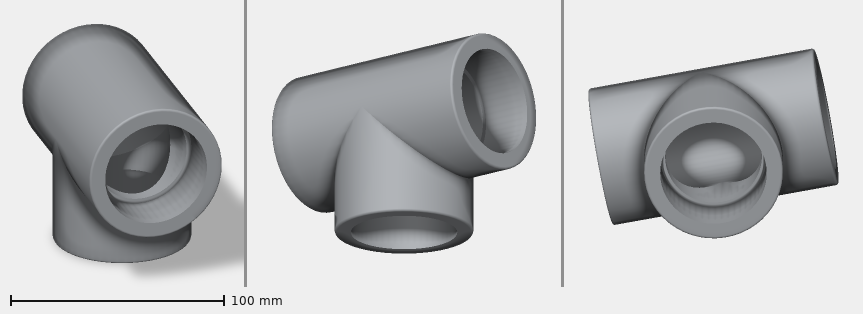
import cadquery as cq

run_length = 107.5
outer_diameter = 65.0
socket_diameter = 50.0
bore_diameter = 45.4
overall_height = 86.5
socket_depth = 24.5
rim_fillet = 1.1

outer_radius = outer_diameter / 2
half_run = run_length / 2
branch_length = overall_height - outer_radius


def run_cylinder(diameter, start, end):
    """Cylinder on the X axis between two X positions."""
    return cq.Workplane("YZ").workplane(offset=start).circle(diameter / 2).extrude(end - start)


def branch_cylinder(diameter, start, end):
    """Cylinder on the Z axis between two distances below the run axis."""
    return cq.Workplane("XY").workplane(offset=-end).circle(diameter / 2).extrude(end - start)


run = run_cylinder(outer_diameter, -half_run, half_run).edges().fillet(rim_fillet)
branch = branch_cylinder(outer_diameter, 0, branch_length).faces("<Z").edges().fillet(rim_fillet)
body = run.union(branch)

run_passage = (
    run_cylinder(bore_diameter, -half_run, half_run)
    .union(run_cylinder(socket_diameter, -half_run, socket_depth - half_run))
    .union(run_cylinder(socket_diameter, half_run - socket_depth, half_run))
)

branch_passage = branch_cylinder(bore_diameter, 0, branch_length).union(
    branch_cylinder(socket_diameter, branch_length - socket_depth, branch_length)
)

result = body.cut(run_passage).cut(branch_passage)